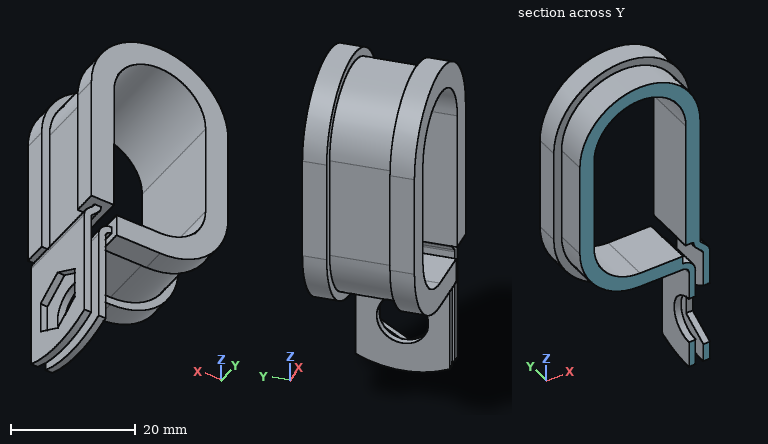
import cadquery as cq
import math

rim_radius = 13.0
bore_radius = 8.7
groove_depth = 1.5
groove_radius = rim_radius - groove_depth
bend_spacing = 17.45
loop_width = 18.95
groove_width = 10.7
long_leg_end_z = -24.3
short_leg_end_x = 8.2

strap_thickness = 1.3
strap_width = 15.9
strap_mid_radius = groove_radius - strap_thickness / 2
jog_radius = 1.275
elbow_radius = 1.77
jog_angle = math.radians(45)
jog_offset = 1.85

total_height = 62.1
ear_tip_z = rim_radius - total_height
ear_tip_sag = 1.7
hole_diameter = 8.7
hexagon_across_flats = 10.2
hole_z = -39.7
ear_envelope_depth = 6.2


def loop_band(outer_radius, width):
    """Open loop between the bore and an outer radius, centred across the width."""
    profile = (
        cq.Workplane("XZ")
        .moveTo(outer_radius, long_leg_end_z)
        .lineTo(outer_radius, 0)
        .threePointArc((0, outer_radius), (-outer_radius, 0))
        .lineTo(-outer_radius, -bend_spacing)
        .radiusArc((0, -bend_spacing - outer_radius), -outer_radius)
        .lineTo(short_leg_end_x, -bend_spacing - outer_radius)
        .lineTo(short_leg_end_x, -bend_spacing - bore_radius)
        .lineTo(0, -bend_spacing - bore_radius)
        .radiusArc((-bore_radius, -bend_spacing), bore_radius)
        .lineTo(-bore_radius, 0)
        .threePointArc((0, bore_radius), (bore_radius, 0))
        .lineTo(bore_radius, long_leg_end_z)
        .close()
    )
    return profile.extrude(width / 2, both=True)


def short_leg_ear():
    """Strap leaving the short leg along X and turning straight down."""
    start_z = -bend_spacing - strap_mid_radius
    ear_x = short_leg_end_x + elbow_radius
    bend_z = start_z - elbow_radius
    path = (
        cq.Workplane("XZ")
        .moveTo(short_leg_end_x, start_z)
        .radiusArc((ear_x, bend_z), elbow_radius)
        .lineTo(ear_x, ear_tip_z)
    )
    section = cq.Workplane("YZ", origin=(short_leg_end_x, 0, start_z)).rect(strap_width, strap_thickness)
    return section.sweep(path)


def long_leg_ear():
    """Strap leaving the long leg downward and jogging outward before its flat ear."""
    bend_dx = jog_radius * (1 - math.cos(jog_angle))
    bend_dz = jog_radius * math.sin(jog_angle)
    slope_dx = jog_offset - 2 * bend_dx
    slope_dz = slope_dx / math.tan(jog_angle)
    slope_x = strap_mid_radius + bend_dx
    slope_z = long_leg_end_z - bend_dz
    ear_x = strap_mid_radius + jog_offset
    ear_top_z = slope_z - slope_dz - bend_dz
    path = (
        cq.Workplane("XZ")
        .moveTo(strap_mid_radius, long_leg_end_z)
        .radiusArc((slope_x, slope_z), -jog_radius)
        .lineTo(slope_x + slope_dx, slope_z - slope_dz)
        .radiusArc((ear_x, ear_top_z), jog_radius)
        .lineTo(ear_x, ear_tip_z)
    )
    section = cq.Workplane("XY", origin=(strap_mid_radius, 0, long_leg_end_z)).rect(
        strap_thickness, strap_width
    )
    return section.sweep(path)


def ear_envelope():
    """Block with the curved tip shared by both ears."""
    half_width = strap_width / 2
    corner_z = ear_tip_z + ear_tip_sag
    return (
        cq.Workplane("YZ", origin=(short_leg_end_x, 0, 0))
        .moveTo(-half_width, 0)
        .lineTo(-half_width, corner_z)
        .threePointArc((0, ear_tip_z), (half_width, corner_z))
        .lineTo(half_width, 0)
        .close()
        .extrude(ear_envelope_depth)
    )


def hole_plane():
    """Workplane facing the ears, centred on the bolt axis."""
    return cq.Workplane("YZ", origin=(short_leg_end_x, 0, hole_z))


def round_hole():
    """Bolt clearance hole."""
    return hole_plane().circle(hole_diameter / 2).extrude(ear_envelope_depth)


def hexagon_hole():
    """Hexagonal hole with corners at its top and bottom."""
    hexagon = hole_plane().polygon(6, hexagon_across_flats, circumscribed=True)
    return hexagon.extrude(ear_envelope_depth)


rim_width = (loop_width - groove_width) / 2
rim_center_y = (groove_width + rim_width) / 2
result = loop_band(groove_radius, loop_width)
for side in (-1, 1):
    result = result.union(loop_band(rim_radius, rim_width).translate((0, side * rim_center_y, 0)))

for ear, hole in ((short_leg_ear(), round_hole()), (long_leg_ear(), hexagon_hole())):
    result = result.union(ear.intersect(ear_envelope()).cut(hole))